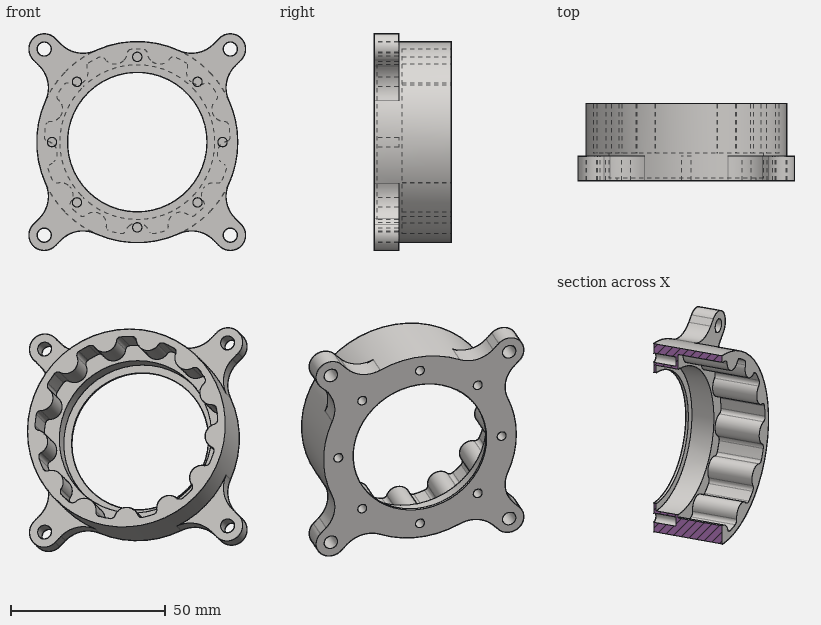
import cadquery as cq
import math

HEIGHT = 25.0
BODY_RADIUS = 32.5

OVERALL_WIDTH = 70.0
FLANGE_THICKNESS = 8.0
LUG_RADIUS = 5.0
LUG_OFFSET = OVERALL_WIDTH / 2 - LUG_RADIUS
LUG_BLEND_RADIUS = 10.0
LUG_HOLE_DIAMETER = 4.5

LIP_RADIUS = 22.45
LIP_THICKNESS = 1.0
SEAT_RADIUS = 25.0
SEAT_DEPTH = 8.0
PIN_RING_START = LIP_THICKNESS + SEAT_DEPTH

PIN_COUNT = 13
PIN_RING_RADIUS = 30.0
PIN_RADIUS = 4.0
PIN_ROOT_RADIUS = 1.5
FIRST_PIN_ANGLE = -90.0

SCREW_COUNT = 8
SCREW_CIRCLE_RADIUS = 27.5
SCREW_HOLE_DIAMETER = 3.0
SCREW_HOLE_DEPTH = FLANGE_THICKNESS


def polar(radius, angle):
    """Point at a radius and an angle in degrees."""
    turn = math.radians(angle)
    return (radius * math.cos(turn), radius * math.sin(turn))


def offset_polar(centre, radius, angle):
    """Point at a radius and an angle in degrees around a centre."""
    x, z = polar(radius, angle)
    return (centre[0] + x, centre[1] + z)


def front_plane(depth=0.0):
    """Sketch plane parallel to the mounting face; extruding by -length goes toward +Y."""
    return cq.Workplane("XZ", origin=(0, depth, 0))


def cylinder(radius, start, end):
    return front_plane(start).circle(radius).extrude(start - end)


def lug(angle):
    """Lug along a diagonal, with a concave blend into the body circle on each side."""
    lug_centre = polar(LUG_OFFSET * math.sqrt(2), angle)
    blend_distance = BODY_RADIUS + LUG_BLEND_RADIUS
    spread = math.degrees(math.asin((LUG_RADIUS + LUG_BLEND_RADIUS) / blend_distance))

    def blend(side):
        """Start, middle and end of the blend arc, from the body outward to the lug."""
        centre = polar(blend_distance, angle + side * spread)
        body_direction = angle + side * (spread + 180)
        lug_direction = angle + side * 270
        directions = (body_direction, (body_direction + lug_direction) / 2, lug_direction)
        return [offset_polar(centre, LUG_BLEND_RADIUS, direction) for direction in directions]

    right_body, right_middle, right_side = blend(-1)
    left_body, left_middle, left_side = blend(1)
    return (
        front_plane()
        .lineTo(*right_body)
        .threePointArc(right_middle, right_side)
        .lineTo(*offset_polar(lug_centre, LUG_RADIUS, angle - 90))
        .threePointArc(
            offset_polar(lug_centre, LUG_RADIUS, angle),
            offset_polar(lug_centre, LUG_RADIUS, angle + 90),
        )
        .lineTo(*left_side)
        .threePointArc(left_middle, left_body)
        .close()
        .extrude(-FLANGE_THICKNESS)
    )


def pin_ring_cavity():
    """Cavity behind the bearing seat: a cylinder notched by the pins, with rounded pin roots."""
    root_circle = PIN_RING_RADIUS - PIN_ROOT_RADIUS
    root_reach = PIN_RADIUS + PIN_ROOT_RADIUS
    cosine = (PIN_RING_RADIUS**2 + root_circle**2 - root_reach**2) / (2 * PIN_RING_RADIUS * root_circle)
    root_angle = math.degrees(math.acos(cosine))
    pitch = 360 / PIN_COUNT

    def pin_contact(pin_centre, root_centre):
        """Point where a root arc touches its pin."""
        share = PIN_RADIUS / root_reach
        return tuple(p + share * (r - p) for p, r in zip(pin_centre, root_centre))

    def root_middle(root_centre, wall_point, contact):
        """Middle of a root arc, on the bisector of its two ends."""
        x = wall_point[0] + contact[0] - 2 * root_centre[0]
        z = wall_point[1] + contact[1] - 2 * root_centre[1]
        return offset_polar(root_centre, PIN_ROOT_RADIUS, math.degrees(math.atan2(z, x)))

    outline = front_plane(PIN_RING_START).moveTo(*polar(PIN_RING_RADIUS, FIRST_PIN_ANGLE - root_angle))
    for index in range(PIN_COUNT):
        angle = FIRST_PIN_ANGLE + index * pitch
        pin_centre = polar(PIN_RING_RADIUS, angle)
        near_wall = polar(PIN_RING_RADIUS, angle - root_angle)
        near_root = polar(root_circle, angle - root_angle)
        near_contact = pin_contact(pin_centre, near_root)
        far_wall = polar(PIN_RING_RADIUS, angle + root_angle)
        far_root = polar(root_circle, angle + root_angle)
        far_contact = pin_contact(pin_centre, far_root)
        pin_tip = polar(PIN_RING_RADIUS - PIN_RADIUS, angle)
        gap_middle = polar(PIN_RING_RADIUS, angle + pitch / 2)
        next_wall = polar(PIN_RING_RADIUS, angle + pitch - root_angle)
        outline = (
            outline.threePointArc(root_middle(near_root, near_wall, near_contact), near_contact)
            .threePointArc(pin_tip, far_contact)
            .threePointArc(root_middle(far_root, far_wall, far_contact), far_wall)
            .threePointArc(gap_middle, next_wall)
        )
    return outline.close().extrude(PIN_RING_START - HEIGHT)


housing = cylinder(BODY_RADIUS, 0, HEIGHT)
for lug_angle in (45, 135, 225, 315):
    housing = housing.union(lug(lug_angle))

housing = housing.cut(cylinder(LIP_RADIUS, 0, LIP_THICKNESS))
housing = housing.cut(cylinder(SEAT_RADIUS, LIP_THICKNESS, PIN_RING_START))
housing = housing.cut(pin_ring_cavity())

lug_holes = (
    front_plane()
    .rect(2 * LUG_OFFSET, 2 * LUG_OFFSET, forConstruction=True)
    .vertices()
    .circle(LUG_HOLE_DIAMETER / 2)
    .extrude(-FLANGE_THICKNESS)
)
screw_holes = (
    front_plane()
    .polarArray(SCREW_CIRCLE_RADIUS, 0, 360, SCREW_COUNT)
    .circle(SCREW_HOLE_DIAMETER / 2)
    .extrude(-SCREW_HOLE_DEPTH)
)
result = housing.cut(lug_holes).cut(screw_holes)